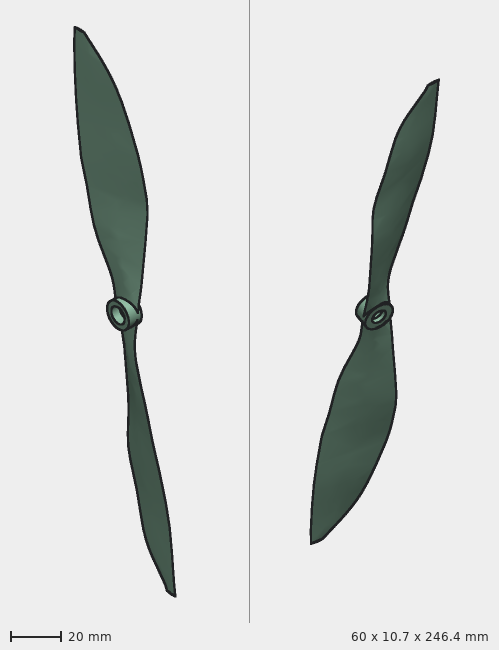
import cadquery as cq

half_span = 123.2

hub_diameter = 13.0
hub_front = -5.3
hub_length = 7.0
bore_diameter = 6.5
counterbore_diameter = 8.0
counterbore_depth = 4.5

blade_sections = [
    (0.0, (-6.5, -0.5), (6.2, -0.5), 3.5),
    (5.0, (-6.5, -1.2), (6.2, 0.2), 3.5),
    (12.3, (-6.7, -2.2), (6.0, 1.7), 3.0),
    (25.9, (-11.3, -4.0), (5.7, 3.5), 2.5),
    (44.4, (-17.7, -4.5), (6.0, 5.2), 2.0),
    (61.5, (-22.7, -4.2), (5.0, 4.5), 1.7),
    (78.8, (-26.4, -3.2), (1.2, 3.2), 1.5),
    (98.5, (-28.8, -2.5), (-6.0, 1.7), 1.2),
    (111.0, (-29.5, -2.2), (-12.8, 0.2), 1.0),
    (120.7, (-30.0, -1.7), (-22.7, -0.7), 0.7),
    (half_span, (-30.0, -1.5), (-24.6, -1.2), 0.5),
]


def section_wire(height, front_edge, back_edge, thickness):
    """Lens of two arcs that meet at the sharp edges of the blade."""
    front = cq.Vector(*front_edge, height)
    back = cq.Vector(*back_edge, height)
    middle = (front + back) * 0.5
    chord = back - front
    bulge = cq.Vector(-chord.y, chord.x, 0).normalized() * (thickness / 2)
    rear_arc = cq.Edge.makeThreePointArc(front, middle + bulge, back)
    front_arc = cq.Edge.makeThreePointArc(back, middle - bulge, front)
    return cq.Wire.assembleEdges([rear_arc, front_arc])


def hub_cylinder(diameter, length):
    """Cylinder about Y that starts at the front face of the hub."""
    axis_start = cq.Vector(0, hub_front, 0)
    return cq.Workplane(cq.Solid.makeCylinder(diameter / 2, length, axis_start, cq.Vector(0, 1, 0)))


wires = [section_wire(*section) for section in blade_sections]
upper_blade = cq.Workplane(cq.Solid.makeLoft(wires))
lower_blade = upper_blade.rotate((0, 0, 0), (0, 1, 0), 180)

bore_length = 2 * hub_length
result = (
    hub_cylinder(hub_diameter, hub_length)
    .union(upper_blade)
    .union(lower_blade)
    .cut(hub_cylinder(bore_diameter, bore_length))
    .cut(hub_cylinder(counterbore_diameter, counterbore_depth))
)